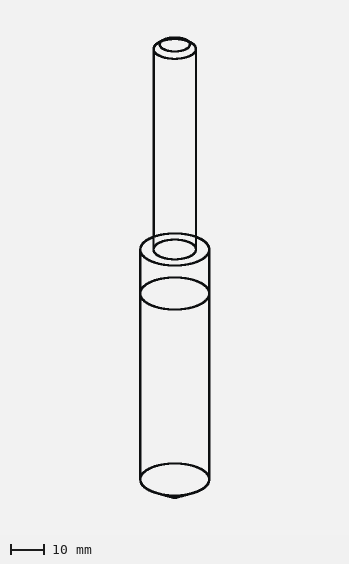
import cadquery as cq

total_length = 152.4
body_diameter = 20.5
shank_diameter = 12.6
cone_height = 6.2
cutter_length = 68.7
collar_length = 14.8
chamfer_width = 1.8
chamfer_height = 1.5

body_radius = body_diameter / 2
shank_radius = shank_diameter / 2
collar_top = cutter_length + collar_length


def make_cutter():
    """Round cutter with a conical point and a flat top."""
    return (
        cq.Workplane("XZ")
        .moveTo(0, 0)
        .lineTo(body_radius, cone_height)
        .lineTo(body_radius, cutter_length)
        .lineTo(0, cutter_length)
        .close()
        .revolve(360, (0, 0, 0), (0, 1, 0))
    )


def make_holder():
    """Collar seated on the cutter, with a slimmer bevelled shank above it."""
    return (
        cq.Workplane("XZ")
        .moveTo(0, cutter_length)
        .lineTo(body_radius, cutter_length)
        .lineTo(body_radius, collar_top)
        .lineTo(shank_radius, collar_top)
        .lineTo(shank_radius, total_length - chamfer_height)
        .lineTo(shank_radius - chamfer_width, total_length)
        .lineTo(0, total_length)
        .close()
        .revolve(360, (0, 0, 0), (0, 1, 0))
    )


cutter = make_cutter()
holder = make_holder()

result = cq.Compound.makeCompound([cutter.val(), holder.val()])